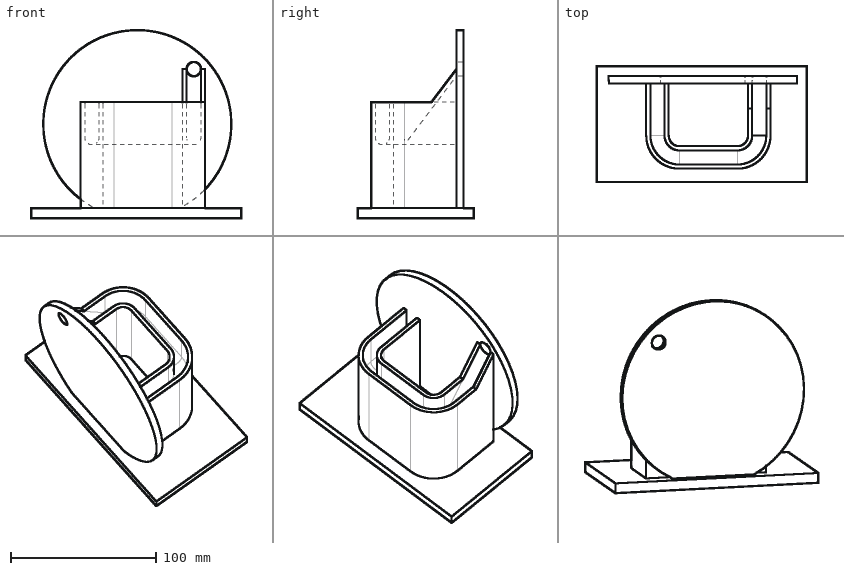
import cadquery as cq

base_length = 145.0
base_width = 80.0
base_thickness = 7.0

disc_diameter = 129.8
disc_thickness = 5.1
disc_center_x = 73.2
disc_front_y = 68.0

channel_width = 9.7
wall_thickness = 2.9
track_left_x = 34.2
track_length = 85.7
track_front_y = 9.3
track_top_z = 80.0
outer_corner_radius = 22.9

hole_center_z = 102.8
slope_end_y = 50.8

channel_radius = channel_width / 2
track_width = channel_width + 2 * wall_thickness
track_right_x = track_left_x + track_length
right_leg_x = track_right_x - track_width / 2
corner_start_y = track_front_y + outer_corner_radius
ramp_slope = (hole_center_z - track_top_z) / (disc_front_y - slope_end_y)
channel_center_z = hole_center_z - ramp_slope * (disc_front_y - corner_start_y)


def u_outline(inset, bottom_z, top_z):
    """Round-cornered block, inset from the outer track wall and ending at the disc."""
    radius = outer_corner_radius - inset
    return (
        cq.Workplane("XY", origin=(track_left_x + inset, track_front_y + inset, bottom_z))
        .box(track_length - 2 * inset, disc_front_y - track_front_y - inset, top_z - bottom_z,
             centered=False)
        .edges("|Z and <Y").fillet(radius)
    )


def u_band(outer_inset, inner_inset, bottom_z, top_z):
    """U-shaped band between two insets from the outer track wall."""
    return u_outline(outer_inset, bottom_z, top_z).cut(u_outline(inner_inset, bottom_z, top_z))


def make_track_body():
    body = u_band(0, track_width, base_thickness, track_top_z)
    ramp_support = (
        cq.Workplane("YZ", origin=(track_right_x - track_width, 0, 0))
        .polyline([
            (slope_end_y, base_thickness),
            (disc_front_y, base_thickness),
            (disc_front_y, hole_center_z),
            (slope_end_y, track_top_z),
        ])
        .close().extrude(track_width)
    )
    return body.union(ramp_support)


def make_round_floor():
    """Round-bottomed level channel along the centre line of the U."""
    bend = outer_corner_radius - track_width / 2
    left_x = track_left_x + track_width / 2
    front_y = track_front_y + track_width / 2
    path = (
        cq.Workplane("XY", origin=(0, 0, channel_center_z))
        .moveTo(right_leg_x, corner_start_y)
        .radiusArc((right_leg_x - bend, front_y), bend)
        .lineTo(left_x + bend, front_y)
        .radiusArc((left_x, corner_start_y), bend)
        .lineTo(left_x, disc_front_y)
    )
    return (
        cq.Workplane("XZ", origin=(right_leg_x, corner_start_y, channel_center_z))
        .circle(channel_radius).sweep(path)
    )


def make_channel():
    """Level channel with open top; the straight right leg is left to the ramp."""
    open_top = u_band(wall_thickness, wall_thickness + channel_width, channel_center_z, hole_center_z)
    right_leg = cq.Workplane("XY", origin=(right_leg_x, corner_start_y, channel_center_z)).box(
        track_width, disc_front_y - corner_start_y, hole_center_z - channel_center_z,
        centered=(True, False, False))
    return open_top.cut(right_leg).union(make_round_floor())


def make_ramp():
    """Sloping round-bottomed groove, open to above."""
    ramp_run = disc_front_y - corner_start_y
    groove = (
        cq.Workplane("XZ", origin=(right_leg_x, disc_front_y, hole_center_z))
        .circle(channel_radius)
        .workplane(offset=ramp_run).center(0, channel_center_z - hole_center_z)
        .circle(channel_radius).loft(ruled=True)
    )
    open_top = (
        cq.Workplane("YZ", origin=(right_leg_x, 0, 0))
        .polyline([
            (corner_start_y, channel_center_z),
            (disc_front_y, hole_center_z),
            (corner_start_y, hole_center_z),
        ])
        .close().extrude(channel_radius, both=True)
    )
    return groove.union(open_top)


base = cq.Workplane("XY").box(base_length, base_width, base_thickness, centered=False)
disc = (
    cq.Workplane("XZ", origin=(disc_center_x, disc_front_y, disc_diameter / 2))
    .circle(disc_diameter / 2).extrude(-disc_thickness)
)
ball_hole = (
    cq.Workplane("XZ", origin=(right_leg_x, disc_front_y, hole_center_z))
    .circle(channel_radius).extrude(-disc_thickness)
)
track = make_track_body().cut(make_channel()).cut(make_ramp())

result = base.union(disc.cut(ball_hole)).union(track)